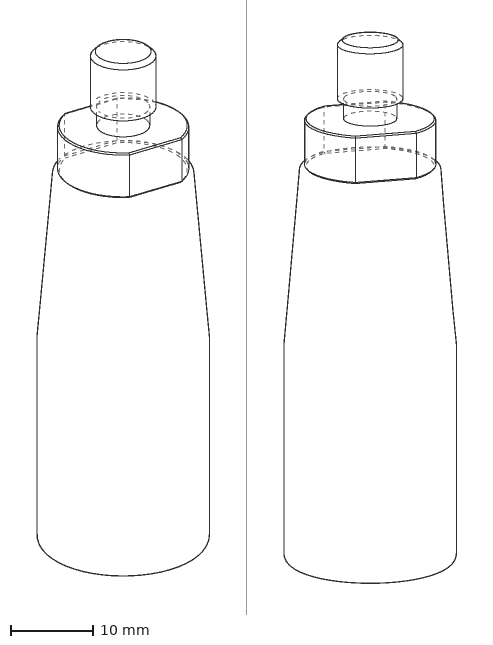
import cadquery as cq

total_height = 66.0

grip_diameter = 21.0
grip_top_diameter = 17.15
grip_cylinder_height = 27.5
grip_height = 50.0
base_fillet = 1.0
grip_top_fillet = 0.45

collar_diameter = 16.0
collar_across_flats = 14.0
collar_height = 6.0
collar_chamfer = 0.2

neck_diameter = 6.5
neck_height = 2.5
stud_diameter = 8.0
stud_tip_diameter = 6.8
stud_chamfer_height = 0.6

collar_top = grip_height + collar_height
stud_bottom = collar_top + neck_height


def make_grip():
    """Revolved grip with a rounded base and a rounded top rim."""
    grip = (
        cq.Workplane("XZ")
        .lineTo(grip_diameter / 2, 0)
        .lineTo(grip_diameter / 2, grip_cylinder_height)
        .lineTo(grip_top_diameter / 2, grip_height)
        .lineTo(0, grip_height)
        .close()
        .revolve(360, (0, 0), (0, 1))
    )
    grip = grip.faces("<Z").edges().fillet(base_fillet)
    return grip.faces(">Z").edges().fillet(grip_top_fillet)


def make_collar():
    """Round collar cut by two flats, with both end outlines chamfered."""
    collar = cq.Workplane("XY").circle(collar_diameter / 2).extrude(collar_height)
    flats = cq.Workplane("XY").rect(collar_across_flats, collar_diameter).extrude(collar_height)
    collar = collar.intersect(flats)
    collar = collar.faces("<Z or >Z").edges().chamfer(collar_chamfer)
    return collar.translate((0, 0, grip_height))


def make_stud():
    """Revolved neck and shank, the shank narrowing at its tip."""
    return (
        cq.Workplane("XZ")
        .moveTo(0, collar_top)
        .lineTo(neck_diameter / 2, collar_top)
        .lineTo(neck_diameter / 2, stud_bottom)
        .lineTo(stud_diameter / 2, stud_bottom)
        .lineTo(stud_diameter / 2, total_height - stud_chamfer_height)
        .lineTo(stud_tip_diameter / 2, total_height)
        .lineTo(0, total_height)
        .close()
        .revolve(360, (0, 0), (0, 1))
    )


result = make_grip().union(make_collar()).union(make_stud())